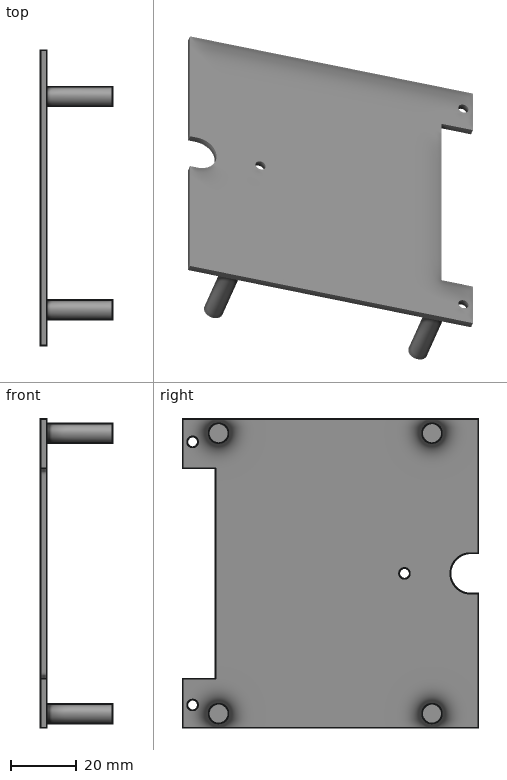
import cadquery as cq

plate_thickness = 2.0
plate_width = 90.0
plate_height = 94.0

recess_depth = 10.0
recess_height = 64.0

slot_depth = 8.5
slot_height = 12.2

hole_diameter = 3.2
corner_hole_y = -plate_width / 2 + 3.0
corner_hole_z = plate_height / 2 - 7.0
middle_hole_y = plate_width / 2 - 22.5

pin_diameter = 6.0
pin_length = 20.0
pin_plus_y = plate_width / 2 - 14.1
pin_minus_y = -plate_width / 2 + 10.9
pin_z = plate_height / 2 - 4.3


def make_plate():
    """Rectangular plate with its plain face at X = 0."""
    return cq.Workplane("YZ").rect(plate_width, plate_height).extrude(plate_thickness)


def make_recess():
    """Cutter for the recess; its outer half lies beyond the -Y edge."""
    profile = cq.Workplane("YZ").center(-plate_width / 2, 0).rect(2 * recess_depth, recess_height)
    return profile.extrude(plate_thickness)


def make_slot():
    """Cutter for the slot; its outer half lies beyond the +Y edge."""
    profile = cq.Workplane("YZ").center(plate_width / 2, 0).slot2D(2 * slot_depth, slot_height)
    return profile.extrude(plate_thickness)


def make_bars(points, diameter, start_x, length):
    """Round bars along X at the given (Y, Z) points."""
    base = cq.Workplane("YZ").workplane(offset=start_x)
    return base.pushPoints(points).circle(diameter / 2).extrude(length)


hole_points = [
    (corner_hole_y, corner_hole_z),
    (corner_hole_y, -corner_hole_z),
    (middle_hole_y, 0),
]
pin_points = [(y, z) for y in (pin_minus_y, pin_plus_y) for z in (-pin_z, pin_z)]

plate = make_plate().cut(make_recess()).cut(make_slot())
plate = plate.cut(make_bars(hole_points, hole_diameter, 0, plate_thickness))
result = plate.union(make_bars(pin_points, pin_diameter, plate_thickness, pin_length))